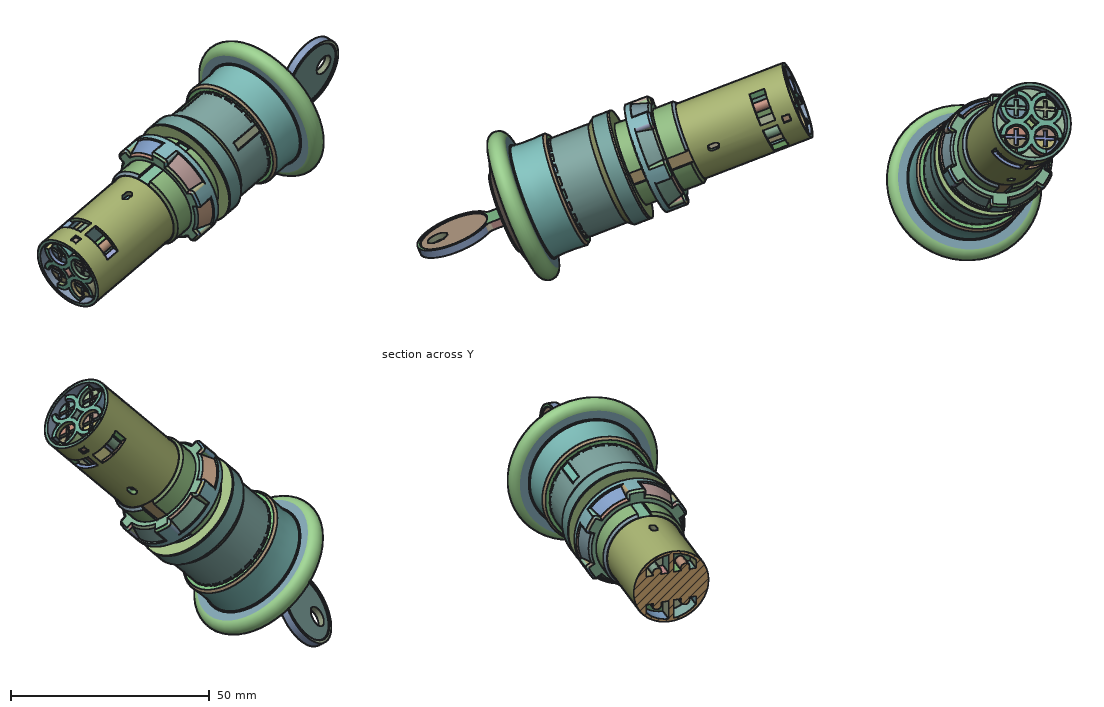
import cadquery as cq
import math

total_length = 103.0

barrel_d = 20.2
neck_d = 21.9
flange_d = 29.0
front_barrel_d = 26.7
neck_start_y = 28.9
neck_chamfer = 0.7
gasket_start_y = 45.2
gasket_thickness = 0.5
flange_start_y = gasket_start_y + gasket_thickness
flange_bevel_y = 49.9
flange_end_y = 51.4
keyway_w = 3.4

terminal_bore_d = 18.3
terminal_bore_depth = 3.1
terminal_block_d = 17.5
terminal_block_setback = 0.3
screw_offset = 3.76
screw_lobe_d = 8.4
screw_hole_d = 6.0
screw_hole_depth = 2.6
screw_d = 5.5
screw_setback = 1.2
slot_w = 0.9
short_slot_length = 4.1
slot_depth = 0.8

window_start_y = 5.8
window_end_y = 9.8
window_floor_z = 6.0
window_rib_w = 1.4
clamp_pit_outer_x = 6.6
pit_floor_z = 4.1
pit_end_y = 13.9
wire_clamp_d = 2.5
mark_w = 1.8
square_mark_depth = 0.6
square_mark_start_y = 2.1
square_mark_end_y = 4.0
oval_mark_depth = 1.5
oval_mark_start_y = 21.3
oval_mark_end_y = 24.3

notch_count = 24
notch_w = 2.3
notch_depth = 0.8
notch_overlap = 0.7
short_notch_start_y = 61.7
long_notch_start_y = 53.9
long_notch_indices = (3, 21)

nut_start_y = 34.8
nut_chamfer = 0.6
nut_flange_start_y = 39.6
nut_flange_end_y = 41.1
nut_end_y = 41.4
nut_face_d = 26.1
pocket_deep_d = 25.5
pocket_shallow_d = 28.0
lug_count = 6
lug_w = 5.0
lug_rounding = 0.8

sleeve_start_y = 62.3
sleeve_end_y = 71.8
sleeve_d = 30.1
sleeve_waist_d = 29.7
sleeve_chamfer_w = 0.6
sleeve_chamfer_length = 0.7

head_d = 39.9
head_start_y = 72.1
head_rim_y = 74.7
head_cone_y = 77.0
head_end_y = 79.6
head_top_d = 21.0
head_top_step = 0.4
head_back_d = 35.3
head_cone_d = 34.6
head_boss_d = 30.7

key_thickness = 2.2
bow_d = 19.9
bow_y = total_length - bow_d / 2
key_z = -2.0
shank_w = 8.1
shank_fillet = 1.5
key_hole_d = 5.4
key_hole_y = 97.5
bow_recess_d = 18.3
bow_recess_depth = 0.2
bow_recess_taper = 45


def revolve_about_y(profile):
    """Turn a closed (radius, Y) outline about the Y axis."""
    return profile.close().revolve(360, (0, 0, 0), (0, 1, 0))


def ring(start_y, end_y, outer_d, inner_d):
    """Plain ring about the Y axis."""
    section = cq.Workplane("XZ", origin=(0, start_y, 0)).circle(outer_d / 2).circle(inner_d / 2)
    return section.extrude(start_y - end_y)


def plane_at(y):
    """Plane across the axis with local axes X and Z; extruding by a negative length goes to +Y."""
    return cq.Workplane("XZ", origin=(0, y, 0))


def box_between(x_range, y_range, z_range):
    sizes = [high - low for low, high in (x_range, y_range, z_range)]
    return cq.Workplane("XY").box(*sizes, centered=False).translate(
        (x_range[0], y_range[0], z_range[0])
    )


def both_faces(cutter):
    """The cutter together with its mirror image below the XY plane."""
    return cutter.union(cutter.mirror("XY"))




def housing_blank():
    neck_r = neck_d / 2
    profile = (
        cq.Workplane("XY")
        .lineTo(barrel_d / 2, 0)
        .lineTo(barrel_d / 2, neck_start_y)
        .lineTo(neck_r - neck_chamfer, neck_start_y)
        .lineTo(neck_r, neck_start_y + neck_chamfer)
        .lineTo(neck_r, flange_start_y)
        .lineTo(flange_d / 2, flange_start_y)
        .lineTo(flange_d / 2, flange_bevel_y)
        .lineTo(front_barrel_d / 2, flange_end_y)
        .lineTo(front_barrel_d / 2, sleeve_end_y)
        .lineTo(0, sleeve_end_y)
    )
    return revolve_about_y(profile)


def keyways():
    """Flat-bottomed grooves along the neck, flush with the barrel."""
    return both_faces(
        box_between(
            (-keyway_w / 2, keyway_w / 2),
            (neck_start_y, gasket_start_y),
            (barrel_d / 2, neck_d / 2),
        )
    )


def screw_places():
    return [(x, z) for x in (-screw_offset, screw_offset) for z in (-screw_offset, screw_offset)]


def terminal_recess():
    """Bore in the rear end, leaving a four-lobed terminal block standing in it."""
    bore = plane_at(0).circle(terminal_bore_d / 2).extrude(-terminal_bore_depth)
    block_height = terminal_bore_depth - terminal_block_setback
    lobes = cq.Workplane("XY")
    for x, z in screw_places():
        lobe = plane_at(terminal_block_setback).center(x, z).circle(screw_lobe_d / 2).extrude(-block_height)
        lobes = lobes.add(lobe)
    lobes = lobes.combine()
    limit = plane_at(terminal_block_setback).circle(terminal_block_d / 2).extrude(-block_height)
    return bore.cut(lobes.intersect(limit))


def screw_recesses():
    """Holes around the cross-slotted screw heads, each open to the bore in its outer corner."""
    holes = plane_at(0).pushPoints(screw_places()).circle(screw_hole_d / 2).extrude(-screw_hole_depth)
    bore_r = terminal_bore_d / 2
    entries = cq.Workplane("XY")
    for x, z in screw_places():
        entry = box_between((0, bore_r), (0, screw_hole_depth), (0, bore_r))
        if x < 0:
            entry = entry.mirror("YZ")
        if z < 0:
            entry = entry.mirror("XY")
        entries = entries.add(entry.translate((x, 0, z)))
    bore = plane_at(0).circle(bore_r).extrude(-screw_hole_depth)
    holes = holes.union(entries.combine().intersect(bore))
    heads = (
        plane_at(screw_setback)
        .pushPoints(screw_places())
        .circle(screw_d / 2)
        .extrude(screw_setback - screw_hole_depth)
    )
    slots = plane_at(screw_setback).pushPoints(screw_places())
    long_slots = slots.rect(screw_d, slot_w).extrude(-slot_depth)
    short_slots = slots.rect(slot_w, short_slot_length).extrude(-slot_depth)
    return holes.cut(heads.cut(long_slots).cut(short_slots))


def wire_windows():
    """Pairs of side windows into inner pits, with a round wire clamp lying in each pit."""
    y_range = (window_start_y, window_end_y)
    inner_x = window_rib_w / 2
    opening = box_between((inner_x, barrel_d / 2), y_range, (window_floor_z, barrel_d / 2))
    pit = box_between(
        (inner_x, clamp_pit_outer_x), (window_start_y, pit_end_y), (pit_floor_z, barrel_d / 2)
    ).intersect(plane_at(window_start_y).circle(terminal_bore_d / 2).extrude(window_start_y - pit_end_y))
    clamp = (
        plane_at(window_start_y)
        .center(screw_offset, window_floor_z - wire_clamp_d / 2)
        .circle(wire_clamp_d / 2)
        .extrude(window_start_y - pit_end_y)
    )
    window = opening.union(pit).cut(clamp)
    return both_faces(window.union(window.mirror("YZ")))


def wall_marks():
    """Square and oval recesses on the centre line of the barrel."""
    barrel_r = barrel_d / 2
    half_w = mark_w / 2
    square = box_between(
        (-half_w, half_w),
        (square_mark_start_y, square_mark_end_y),
        (barrel_r - square_mark_depth, barrel_r),
    )
    oval_centre_y = (oval_mark_start_y + oval_mark_end_y) / 2
    oval = (
        cq.Workplane("XY", origin=(0, oval_centre_y, barrel_r - oval_mark_depth))
        .slot2D(oval_mark_end_y - oval_mark_start_y, mark_w, 90)
        .extrude(oval_mark_depth)
    )
    return both_faces(square.union(oval))


def sleeve_notches():
    """Notches around the front barrel; two of them run on as long guide grooves."""
    floor_z = front_barrel_d / 2 - notch_depth
    end_y = sleeve_start_y + notch_overlap
    notches = cq.Workplane("XY")
    for index in range(notch_count):
        start_y = long_notch_start_y if index in long_notch_indices else short_notch_start_y
        notch = box_between(
            (-notch_w / 2, notch_w / 2), (start_y, end_y), (floor_z, front_barrel_d / 2)
        )
        notches = notches.add(notch.rotate((0, 0, 0), (0, 1, 0), index * 360 / notch_count))
    return notches.combine()


def make_housing():
    housing = housing_blank().cut(keyways()).cut(terminal_recess()).cut(screw_recesses())
    return housing.cut(wire_windows()).cut(wall_marks()).cut(sleeve_notches())




def make_gasket():
    return ring(gasket_start_y, flange_start_y, flange_d, neck_d)




def nut_lug():
    """Radial bar on +Z with rounded outer corners and a chamfered rear end."""
    outer_r = flange_d / 2
    half_w = lug_w / 2
    flat_half_w = half_w - lug_rounding
    corner_z = math.sqrt(outer_r**2 - flat_half_w**2)
    bend = lug_rounding * (1 - math.sqrt(0.5))
    root_z = neck_d / 2 - nut_chamfer
    return (
        plane_at(nut_start_y)
        .moveTo(-half_w, root_z)
        .lineTo(-half_w, corner_z - lug_rounding)
        .threePointArc((bend - half_w, corner_z - bend), (-flat_half_w, corner_z))
        .threePointArc((0, outer_r), (flat_half_w, corner_z))
        .threePointArc((half_w - bend, corner_z - bend), (half_w, corner_z - lug_rounding))
        .lineTo(half_w, root_z)
        .close()
        .extrude(nut_start_y - nut_flange_start_y)
        .faces("<Y")
        .chamfer(nut_chamfer)
    )


def make_nut():
    bore_r = neck_d / 2
    outer_r = flange_d / 2
    blank = revolve_about_y(
        cq.Workplane("XY")
        .moveTo(bore_r, nut_start_y)
        .lineTo(outer_r - nut_chamfer, nut_start_y)
        .lineTo(outer_r, nut_start_y + nut_chamfer)
        .lineTo(outer_r, nut_flange_end_y)
        .lineTo(nut_face_d / 2, nut_flange_end_y)
        .lineTo(nut_face_d / 2, nut_end_y)
        .lineTo(bore_r, nut_end_y)
    )
    pockets = revolve_about_y(
        cq.Workplane("XY")
        .moveTo(pocket_deep_d / 2 - nut_chamfer, nut_start_y)
        .lineTo(pocket_deep_d / 2, nut_start_y + nut_chamfer)
        .lineTo(pocket_shallow_d / 2, nut_flange_start_y)
        .lineTo(outer_r, nut_flange_start_y)
        .lineTo(outer_r, nut_start_y)
    )
    for index in range(lug_count):
        pockets = pockets.cut(nut_lug().rotate((0, 0, 0), (0, 1, 0), index * 360 / lug_count))
    return blank.cut(pockets)




def make_sleeve():
    """Slightly waisted skirt around the front barrel."""
    bore_r = front_barrel_d / 2
    outer_r = sleeve_d / 2
    chamfer_y = sleeve_start_y + sleeve_chamfer_length
    return revolve_about_y(
        cq.Workplane("XY")
        .moveTo(bore_r, sleeve_start_y)
        .lineTo(outer_r - sleeve_chamfer_w, sleeve_start_y)
        .lineTo(outer_r, chamfer_y)
        .threePointArc((sleeve_waist_d / 2, (chamfer_y + sleeve_end_y) / 2), (outer_r, sleeve_end_y))
        .lineTo(bore_r, sleeve_end_y)
    )




def make_head():
    """Domed button with a rounded rim and a short boss that sits on the sleeve."""
    return revolve_about_y(
        cq.Workplane("XY")
        .moveTo(0, sleeve_end_y)
        .lineTo(head_boss_d / 2, sleeve_end_y)
        .lineTo(head_boss_d / 2, head_start_y)
        .lineTo(head_back_d / 2, head_start_y)
        .threePointArc((head_d / 2, head_rim_y), (head_cone_d / 2, head_cone_y))
        .lineTo(head_top_d / 2, head_end_y - head_top_step)
        .lineTo(head_top_d / 2, head_end_y)
        .lineTo(0, head_end_y)
    )




def make_key():
    """Flat key with a round bow, standing on the head."""
    plane = cq.Workplane("YZ", origin=(-key_thickness / 2, 0, key_z))
    bow = plane.center(bow_y, 0).circle(bow_d / 2).extrude(key_thickness)
    shank_length = bow_y - head_end_y
    shank = plane.center(head_end_y + shank_length / 2, 0).rect(shank_length, shank_w).extrude(key_thickness)
    joint_y = bow_y - math.sqrt((bow_d / 2) ** 2 - (shank_w / 2) ** 2)
    joint_edges = cq.selectors.BoxSelector(
        (-key_thickness, joint_y - key_thickness, key_z - shank_w),
        (key_thickness, joint_y + key_thickness, key_z + shank_w),
    )
    key = bow.union(shank).edges("|X").edges(joint_edges).fillet(shank_fillet)
    hole = plane.center(key_hole_y, 0).circle(key_hole_d / 2).extrude(key_thickness)
    recess = (
        cq.Workplane("YZ", origin=(-key_thickness / 2, bow_y, key_z))
        .circle(bow_recess_d / 2)
        .extrude(bow_recess_depth, taper=bow_recess_taper)
    )
    return key.cut(hole).cut(recess).cut(recess.mirror("YZ"))


housing = make_housing()
gasket = make_gasket()
nut = make_nut()
sleeve = make_sleeve()
head = make_head()
key = make_key()

result = cq.Compound.makeCompound(
    [housing.val(), gasket.val(), nut.val(), sleeve.val(), head.val(), key.val()]
)